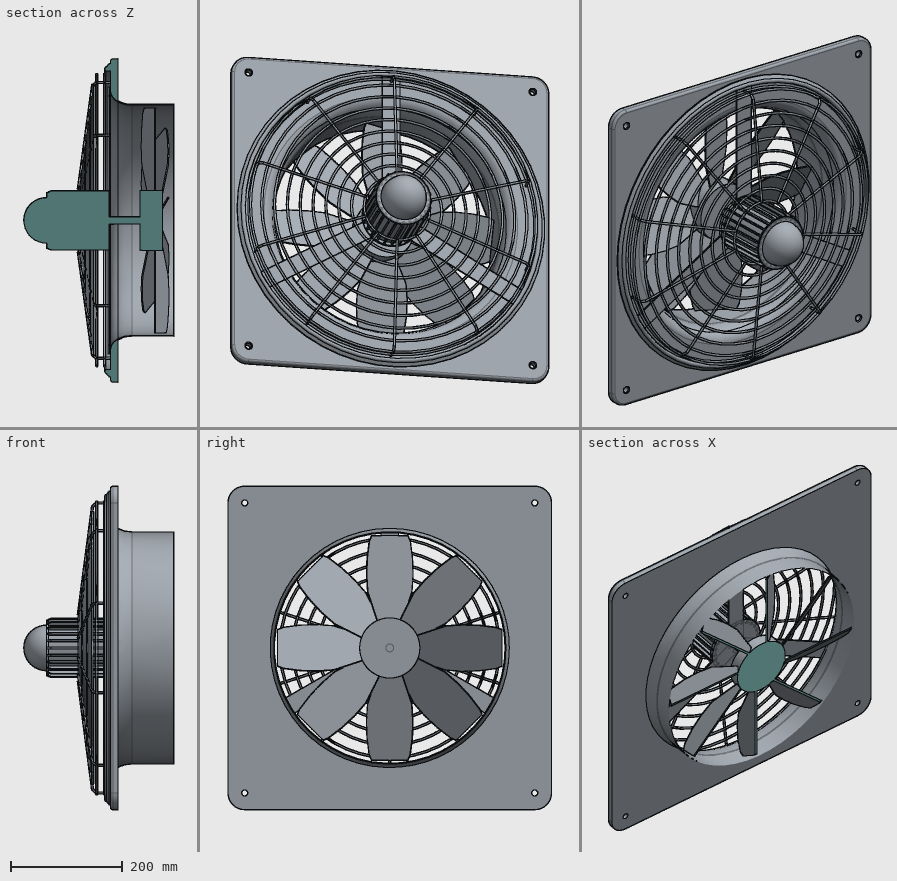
import cadquery as cq
import math


PLATE_SIDE = 580.0
PLATE_THICKNESS = 14.0
PLATE_CORNER_RADIUS = 30.0
PLATE_EDGE_FILLET = 4.5
HOLE_OFFSET = 260.0
HOLE_DIAMETER = 10.5
HOLE_SINK_DIAMETER = 14.0
HOLE_SINK_ANGLE = 90.0
PLATE_FRONT = -PLATE_THICKNESS

DUCT_RADIUS = 208.0
DUCT_WALL = 2.0
DUCT_END = 100.0
BELL_END = 24.5
BELL_MOUTH_RADIUS = 232.0

COLLAR_FOOT_RADIUS = 281.5
COLLAR_SHOULDER_RADIUS = 275.5
COLLAR_CREST_RADIUS = 272.0
COLLAR_INNER_RADIUS = 267.5
COLLAR_SHOULDER_HEIGHT = 7.0
COLLAR_CREST_HEIGHT = 10.5
COLLAR_INNER_HEIGHT = 7.0
COLLAR_LIP_HEIGHT = 2.5

WIRE_RADIUS = 2.05
GUARD_RING_COUNT = 9
GUARD_INNER_RADIUS = 60.0
GUARD_RING_STEP = 22.85
GUARD_INNER_X = -69.5
GUARD_SLOPE = 0.131
RIM_RING_RADIUS = 261.5
RIM_RING_PLACES = (-38.0, -24.5)
SPOKE_COUNT = 10
SPOKE_BEND_RADIUS = 260.0
SPOKE_LIFT = 2.0
SPOKE_BEND_LENGTH = 7.0

DOME_RADIUS = 41.0
MOTOR_FRONT = -128.0
MOTOR_REAR = -15.5
MOTOR_CORE_RADIUS = 47.5
MOTOR_CAP_RADIUS = 50.0
MOTOR_CAP_THICKNESS = 3.0
MOTOR_FLANGE_THICKNESS = 6.0
FIN_TIP_RADIUS = 53.5
FIN_BEVEL_LENGTH = 8.0
FIN_THICKNESS = 3.0
FIN_COUNT = 24

BAR_WIDTH = 32.0
BAR_THICKNESS = 3.0
BAR_COUNT = 3
BAR_END_RADIUS = (COLLAR_SHOULDER_RADIUS + COLLAR_INNER_RADIUS) / 2

SHAFT_RADIUS = 7.0
HUB_FRONT = 39.0
HUB_THICKNESS = 40.5
HUB_RADIUS = 54.0
BLADE_MIDDLE = 66.0
BLADE_COUNT = 8
BLADE_PITCH = 30.0
BLADE_THICKNESS = 2.5
BLADE_ROOT_RADIUS = 49.5
BLADE_FLARE_RADIUS = 100.5
BLADE_BELLY_RADIUS = 133.5
BLADE_SHOULDER_RADIUS = 191.5
BLADE_TIP_RADIUS = 201.0
BLADE_ROOT_HALF = 22.5
BLADE_FLARE_HALF = 39.5
BLADE_BELLY_HALF = 41.45
BLADE_SHOULDER_HALF = 36.5
BLADE_TIP_HALF = 32.5


def revolve_about_axis(profile):
    """Revolve an (x, radius) profile a full turn about the fan axis."""
    return profile.close().revolve(360, (0, 0, 0), (1, 0, 0))


def disc(start, end, radius):
    """Round bar on the fan axis from x = start to x = end."""
    return cq.Workplane("YZ", origin=(start, 0, 0)).circle(radius).extrude(end - start)


def around(shape, count, first_angle=0.0):
    """Copies of a shape spread evenly about the fan axis."""
    step = 360 / count
    return [shape.rotate((0, 0, 0), (1, 0, 0), first_angle + i * step) for i in range(count)]


def wall_plate():
    """Square plate with rounded corners, a rounded front edge and countersunk corner holes."""
    plate = (
        cq.Workplane("YZ", origin=(PLATE_FRONT, 0, 0))
        .rect(PLATE_SIDE, PLATE_SIDE).extrude(PLATE_THICKNESS)
        .edges("|X").fillet(PLATE_CORNER_RADIUS)
        .faces("<X").edges().fillet(PLATE_EDGE_FILLET)
    )
    return (
        plate.faces("<X").workplane(origin=(PLATE_FRONT, 0, 0))
        .rect(2 * HOLE_OFFSET, 2 * HOLE_OFFSET, forConstruction=True).vertices()
        .cskHole(HOLE_DIAMETER, HOLE_SINK_DIAMETER, HOLE_SINK_ANGLE)
    )


def flared_cylinder(wall):
    """The duct's inside grown by a wall: a cylinder with a quarter-ellipse bell mouth."""
    radius = DUCT_RADIUS - DUCT_WALL + wall
    depth = BELL_END - PLATE_FRONT - wall
    flare = BELL_MOUTH_RADIUS - radius
    profile = (
        cq.Workplane("XY").moveTo(DUCT_END, 0).lineTo(DUCT_END, radius).lineTo(BELL_END, radius)
        .ellipseArc(depth, flare, 180, 270, sense=-1)
        .lineTo(BELL_END - depth, 0)
    )
    return revolve_about_axis(profile)


def collar():
    """Ridge standing on the plate front, with a small lip, a sloping outside and a rounded crest."""
    profile = (
        cq.Workplane("XY").moveTo(PLATE_FRONT / 2, COLLAR_INNER_RADIUS)
        .lineTo(PLATE_FRONT - COLLAR_INNER_HEIGHT, COLLAR_INNER_RADIUS)
        .threePointArc(
            (PLATE_FRONT - COLLAR_CREST_HEIGHT, COLLAR_CREST_RADIUS),
            (PLATE_FRONT - COLLAR_SHOULDER_HEIGHT, COLLAR_SHOULDER_RADIUS),
        )
        .lineTo(PLATE_FRONT - COLLAR_LIP_HEIGHT, COLLAR_FOOT_RADIUS)
        .lineTo(PLATE_FRONT / 2, COLLAR_FOOT_RADIUS)
    )
    return revolve_about_axis(profile)


def guard_x(radius):
    """Axial place of the guard's conical front at a radius."""
    return GUARD_INNER_X + GUARD_SLOPE * (radius - GUARD_INNER_RADIUS)


def wire_ring(x, radius):
    """Closed wire ring centred on the fan axis."""
    section = cq.Workplane("XY").center(x, radius).circle(WIRE_RADIUS)
    return section.revolve(360, (0, -radius, 0), (1, -radius, 0))


def wire(start, end):
    """Straight round wire between two points."""
    start_point = cq.Vector(*start)
    run = cq.Vector(*end) - start_point
    return cq.Workplane(cq.Solid.makeCylinder(WIRE_RADIUS, run.Length, start_point, run))


def guard_rings():
    """Evenly spaced rings on the guard's cone and two rings at its rim."""
    radii = [GUARD_INNER_RADIUS + i * GUARD_RING_STEP for i in range(GUARD_RING_COUNT)]
    rings = [wire_ring(guard_x(radius), radius) for radius in radii]
    return rings + [wire_ring(x, RIM_RING_RADIUS) for x in RIM_RING_PLACES]


def spoke():
    """Wire lying on the guard rings, then bent in two steps back into the plate."""
    shoulder = SPOKE_BEND_RADIUS - SPOKE_BEND_LENGTH
    shoulder_x = guard_x(shoulder) - SPOKE_LIFT
    path = [
        (guard_x(GUARD_INNER_RADIUS) - SPOKE_LIFT, 0, GUARD_INNER_RADIUS),
        (shoulder_x, 0, shoulder),
        (shoulder_x + SPOKE_BEND_LENGTH, 0, SPOKE_BEND_RADIUS),
        (PLATE_FRONT / 2, 0, SPOKE_BEND_RADIUS),
    ]
    bent_wire = wire(path[0], path[1])
    for bend, end in zip(path[1:], path[2:]):
        knuckle = cq.Workplane("XY").sphere(WIRE_RADIUS).translate(bend)
        bent_wire = bent_wire.union(knuckle).union(wire(bend, end))
    return bent_wire


def motor():
    """Finned body with a hemispherical front and a smooth flange at its rear."""
    dome = revolve_about_axis(
        cq.Workplane("XY").moveTo(MOTOR_FRONT, 0).lineTo(MOTOR_FRONT - DOME_RADIUS, 0)
        .radiusArc((MOTOR_FRONT, DOME_RADIUS), DOME_RADIUS)
    )
    core = disc(MOTOR_FRONT, MOTOR_REAR, MOTOR_CORE_RADIUS)
    cap = disc(MOTOR_FRONT, MOTOR_FRONT + MOTOR_CAP_THICKNESS, MOTOR_CAP_RADIUS)
    flange = disc(MOTOR_REAR - MOTOR_FLANGE_THICKNESS, MOTOR_REAR, FIN_TIP_RADIUS)
    fin_foot = MOTOR_CORE_RADIUS - FIN_THICKNESS
    fin = (
        cq.Workplane("XZ")
        .moveTo(MOTOR_FRONT, fin_foot)
        .lineTo(MOTOR_FRONT, MOTOR_CAP_RADIUS)
        .lineTo(MOTOR_FRONT + FIN_BEVEL_LENGTH, FIN_TIP_RADIUS)
        .lineTo(MOTOR_REAR, FIN_TIP_RADIUS)
        .lineTo(MOTOR_REAR, fin_foot)
        .close().extrude(FIN_THICKNESS / 2, both=True)
    )
    return [dome, core, cap, flange] + around(fin, FIN_COUNT)


def support_bar():
    """Flat bar from the motor's rear to the collar."""
    return (
        cq.Workplane("XY", origin=(MOTOR_REAR - BAR_THICKNESS / 2, 0, 0))
        .rect(BAR_THICKNESS, BAR_WIDTH).extrude(BAR_END_RADIUS)
    )


def blade():
    """Flat blade pointing along +Z, turned about its own length by the pitch."""
    stretch = 1 / math.cos(math.radians(BLADE_PITCH))
    root = BLADE_ROOT_HALF * stretch
    flare = BLADE_FLARE_HALF * stretch
    belly = BLADE_BELLY_HALF * stretch
    shoulder = BLADE_SHOULDER_HALF * stretch
    tip = BLADE_TIP_HALF * stretch
    outline = (
        cq.Workplane("YZ").moveTo(-root, BLADE_ROOT_RADIUS).lineTo(-flare, BLADE_FLARE_RADIUS)
        .threePointArc((-belly, BLADE_BELLY_RADIUS), (-shoulder, BLADE_SHOULDER_RADIUS))
        .lineTo(-tip, BLADE_TIP_RADIUS).lineTo(tip, BLADE_TIP_RADIUS)
        .lineTo(shoulder, BLADE_SHOULDER_RADIUS)
        .threePointArc((belly, BLADE_BELLY_RADIUS), (flare, BLADE_FLARE_RADIUS))
        .lineTo(root, BLADE_ROOT_RADIUS).close()
    )
    flat = outline.extrude(BLADE_THICKNESS / 2, both=True)
    return flat.rotate((0, 0, 0), (0, 0, 1), BLADE_PITCH).translate((BLADE_MIDDLE, 0, 0))


def impeller():
    """Shaft, cylindrical hub and a ring of pitched blades."""
    shaft = disc(MOTOR_REAR - BAR_THICKNESS, HUB_FRONT + HUB_THICKNESS, SHAFT_RADIUS)
    hub = disc(HUB_FRONT, HUB_FRONT + HUB_THICKNESS, HUB_RADIUS)
    return [shaft, hub] + around(blade(), BLADE_COUNT)


parts = [collar()]
parts += guard_rings()
parts += around(spoke(), SPOKE_COUNT)
parts += motor()
parts += around(support_bar(), BAR_COUNT)
parts += impeller()
housing = wall_plate().union(flared_cylinder(DUCT_WALL)).cut(flared_cylinder(0))
result = cq.Workplane(housing.val().fuse(*[part.val() for part in parts]))